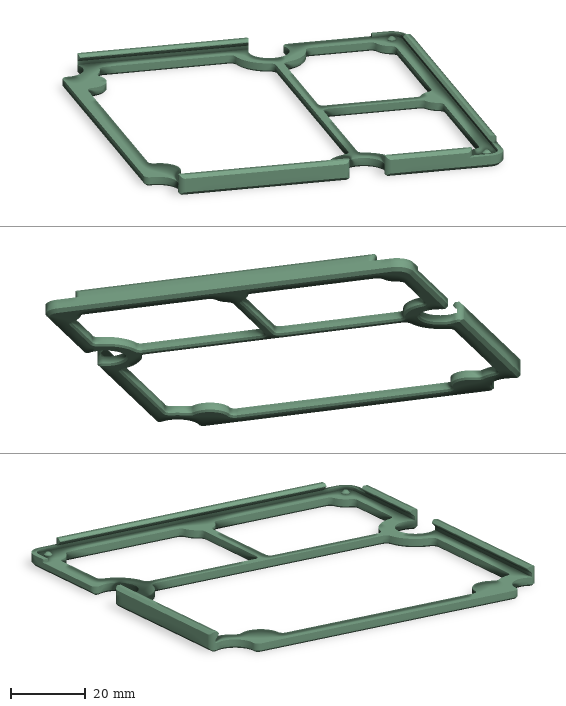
import cadquery as cq
WIDTH = 104.0
DEPTH = 97.5
HEIGHT = 5.6
HALF_WIDTH = WIDTH / 2

PLATE_THICKNESS = 2.5
SIDE_BAR = 4.9
BACK_BAR = 4.9
FRONT_BAR = 4.1
CROSS_BAR = 2.4
MIDDLE_BAR = 2.8
POCKET_FILLET = 1.6
BACK_CORNER_RADIUS = 4.6
EDGE_CHAMFER = 0.5
RIM_CHAMFER = 0.9

NOTCH_RADIUS = 5.5
NOTCH_INSET = 4.5
NOTCH_RING_RADIUS = 9.9
MOUTH_FILLET = 1.6
NOTCH_X = HALF_WIDTH - NOTCH_INSET
SIDE_NOTCH_Y = 59.1
FRONT_NOTCH_Y = 2.0

BACK_PAD_RADIUS = 5.0
PAD_INSET = 4.5
PAD_X = HALF_WIDTH - PAD_INSET
BACK_PAD_Y = DEPTH - PAD_INSET
FRONT_PAD_RADIUS = 5.6
FRONT_PAD_X = 37.1
FRONT_PAD_Y = 5.4

WALL = 1.5
RIM_TOP = 3.4
CORNER_LENGTH = 9.5
RAIL_END_FILLET = 1.6
LEFT_RIM_END = 9.0
LEFT_RIM_FILLET = 0.5
LIP_REACH = 2.7
LIP_OUTER_CHAMFER = 0.8
LIP_INNER_CHAMFER = 0.6
LIP_FACE = 0.2

PIN_RADIUS = 1.1
PIN_CHAMFER = 0.6
PIN_TOP = RIM_TOP


def box(x_min, x_max, y_min, y_max, z_min, z_max):
    size = (x_max - x_min, y_max - y_min, z_max - z_min)
    return cq.Workplane("XY").box(*size, centered=False).translate((x_min, y_min, z_min))


def discs(centres, radius, height):
    return cq.Workplane("XY").pushPoints(centres).circle(radius).extrude(height)


def both_sides(x, y):
    return [(-x, y), (x, y)]


NOTCHES = both_sides(NOTCH_X, SIDE_NOTCH_Y) + both_sides(NOTCH_X, FRONT_NOTCH_Y)


def make_envelope():
    """Full-height prism of the frame outline and windows, with chamfered edges."""
    prism = box(-HALF_WIDTH, HALF_WIDTH, 0, DEPTH, 0, HEIGHT)
    prism = prism.edges("|Z and >Y").fillet(BACK_CORNER_RADIUS)
    prism = prism.cut(discs(NOTCHES, NOTCH_RADIUS, HEIGHT))
    mouths = prism.faces("<X or >X or <Y").edges("|Z")
    side_ends = cq.selectors.BoxSelector(
        (-WIDTH, -1, -1), (WIDTH, BACK_PAD_Y - 1, HEIGHT + 1)
    )
    prism = mouths.edges(side_ends).fillet(MOUTH_FILLET)
    prism = prism.cut(make_pockets())
    prism = prism.faces("<Z").edges().chamfer(EDGE_CHAMFER)

    shell = box(-HALF_WIDTH, HALF_WIDTH, -DEPTH, DEPTH, 0, HEIGHT)
    shell = shell.edges("|Z and >Y").fillet(BACK_CORNER_RADIUS)
    shell = shell.faces("<Z").edges().chamfer(RIM_CHAMFER)
    shell = shell.faces(">Z").edges().chamfer(LIP_OUTER_CHAMFER)
    return prism.intersect(shell)


def make_pockets():
    """The three window openings, bitten into by the notch rings and the pads."""
    window_x = HALF_WIDTH - SIDE_BAR
    cross_front = SIDE_NOTCH_Y - CROSS_BAR / 2
    cross_back = SIDE_NOTCH_Y + CROSS_BAR / 2
    back = DEPTH - BACK_BAR
    pockets = box(-window_x, window_x, FRONT_BAR, cross_front, 0, HEIGHT)
    pockets = pockets.union(box(-window_x, -MIDDLE_BAR / 2, cross_back, back, 0, HEIGHT))
    pockets = pockets.union(box(MIDDLE_BAR / 2, window_x, cross_back, back, 0, HEIGHT))
    back_pads = both_sides(PAD_X, BACK_PAD_Y) + [(0, BACK_PAD_Y)]
    front_pads = both_sides(FRONT_PAD_X, FRONT_PAD_Y)
    pockets = pockets.cut(discs(NOTCHES, NOTCH_RING_RADIUS, HEIGHT))
    pockets = pockets.cut(discs(back_pads, BACK_PAD_RADIUS, HEIGHT))
    pockets = pockets.cut(discs(front_pads, FRONT_PAD_RADIUS, HEIGHT))
    return pockets.edges("|Z").fillet(POCKET_FILLET)


def make_rim():
    """Low wall along the back and the right side, ending just past the back left corner."""
    outer = box(-HALF_WIDTH, HALF_WIDTH, SIDE_NOTCH_Y, DEPTH, 0, RIM_TOP)
    inner = box(-HALF_WIDTH + WALL, HALF_WIDTH - WALL, 0, DEPTH - WALL, 0, RIM_TOP)
    inner = inner.edges("|Z and >Y").fillet(BACK_CORNER_RADIUS - WALL)
    left_gap = box(-HALF_WIDTH, -HALF_WIDTH + WALL, 0, DEPTH - LEFT_RIM_END, 0, RIM_TOP)
    rim = outer.cut(inner).cut(left_gap)
    return rim.edges("|Z").edges("<X").edges("<Y").fillet(LEFT_RIM_FILLET)


def make_rail(length):
    """Hooked rail along +Y from the origin: outer face at X = 0, lip toward +X."""
    lip_bottom = HEIGHT - LIP_INNER_CHAMFER - LIP_FACE
    profile = [
        (0, 0),
        (0, HEIGHT),
        (LIP_REACH - LIP_INNER_CHAMFER, HEIGHT),
        (LIP_REACH, HEIGHT - LIP_INNER_CHAMFER),
        (LIP_REACH, lip_bottom),
        (WALL, lip_bottom - (LIP_REACH - WALL)),
        (WALL, 0),
    ]
    return cq.Workplane("XZ").polyline(profile).close().extrude(-length)


def make_rails():
    """Rails on both front sides, the back right side and the back."""
    front_length = SIDE_NOTCH_Y - FRONT_NOTCH_Y
    right_length = DEPTH - CORNER_LENGTH - SIDE_NOTCH_Y
    back_length = WIDTH - 2 * CORNER_LENGTH
    front_left = make_rail(front_length).translate((-HALF_WIDTH, FRONT_NOTCH_Y, 0))
    front_right = front_left.mirror("YZ")
    back_right = make_rail(right_length).faces(">Y").edges("<X").fillet(RAIL_END_FILLET)
    back_right = back_right.mirror("YZ").translate((HALF_WIDTH, SIDE_NOTCH_Y, 0))
    back = make_rail(back_length)
    back = back.faces("<Y or >Y").edges("<X").fillet(RAIL_END_FILLET)
    back = back.rotate((0, 0, 0), (0, 0, 1), -90).translate((-back_length / 2, DEPTH, 0))
    return front_left.union(front_right).union(back_right).union(back)


def make_pins():
    pin = cq.Workplane("XY", origin=(PAD_X, BACK_PAD_Y, PLATE_THICKNESS))
    pin = pin.circle(PIN_RADIUS).extrude(PIN_TOP - PLATE_THICKNESS)
    pin = pin.faces(">Z").edges().chamfer(PIN_CHAMFER)
    return pin.union(pin.mirror("YZ"))


plate = box(-HALF_WIDTH, HALF_WIDTH, 0, DEPTH, 0, PLATE_THICKNESS)
body = plate.union(make_rim()).union(make_rails()).intersect(make_envelope())
result = body.union(make_pins())